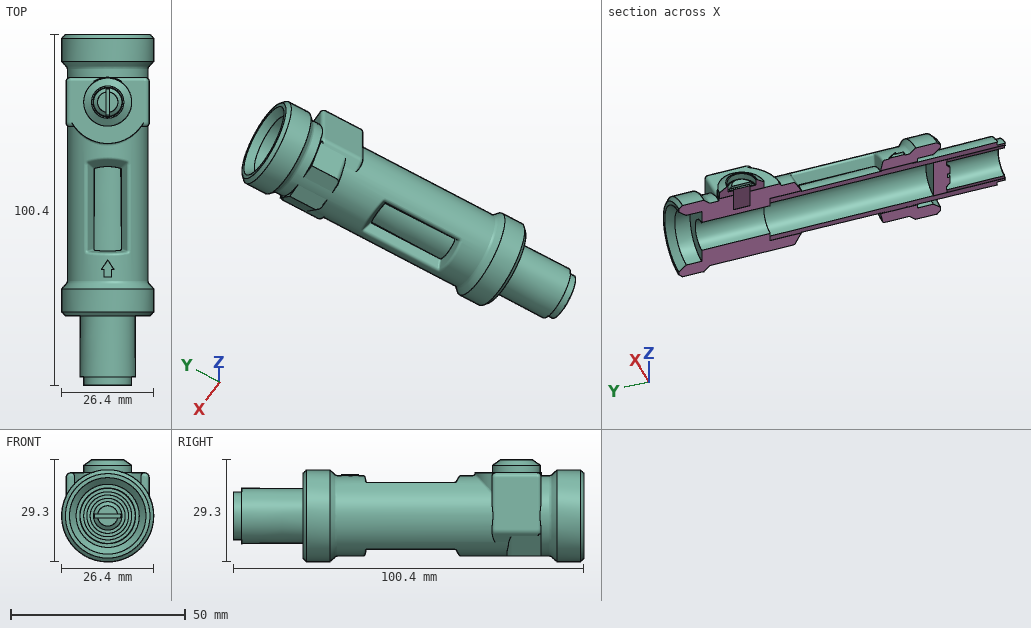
import cadquery as cq

total_length = 100.4

pick_margin = 0.1

barrel_radius = 23.1 / 2
collar_radius = 26.4 / 2
front_face_y = 19.9
collar_chamfer = 1.1
collar_rim_length = 7.7
collar_cone_length = 1.8
collar_neck_fillet = 1.0
mouth_radius = 10.9
mouth_cone_depth = 2.3
socket_radius = 18.1 / 2
socket_depth = 7.0
flow_bore_radius = 10.0 / 2

dial_y = 81.0
block_half_width = 23.8 / 2
block_front_y = 74.0
block_rear_y = 88.1
block_top_z = 12.4
block_side_bottom_z = -4.7
block_keel_half_width = 7.5
block_keel_z = -8.6
block_edge_fillet = 1.4
block_keel_fillet = 1.8
block_corner_fillet = 1.1
dial_plate_radius = 11.8
dial_plate_fillet = 0.7
knob_seat_radius = 7.1

foot_front_y = 78.3
foot_top_half_width = 11.2
foot_top_z = -5.1
foot_corner_fillet = 1.5
foot_bottom_half_width = 6.0
foot_bottom_z = -11.4

window_outer_half_width = 7.0
window_outer_front_y = 37.7
window_outer_rear_y = 64.8
window_inner_half_width = 7.9 / 2
window_inner_front_y = 38.7
window_inner_rear_y = 62.1
window_inner_z = 6.7
window_corner_fillet = 0.5
window_rim_fillet = 0.8

arrow_tail_y = 30.9
arrow_neck_y = 33.1
arrow_tip_y = 35.8
arrow_head_half_width = 1.8
arrow_shaft_half_width = 1.1
arrow_height = 0.3

tube_tip_radius = 13.8 / 2
tube_tip_length = 2.4
tube_front_radius = 16.0 / 2
tube_rear_radius = 7.6
tube_rear_y = 72.3
tube_bore_radius = 12.0 / 2
liner_recess = 0.2
liner_rear_y = 18.1
plug_length = 4.0

knob_radius = 13.8 / 2
knob_rim_z = 14.5
knob_top_radius = 4.6
knob_top_z = 16.1
knob_recess_radius = 8.4 / 2
knob_recess_depth = 2.0

head_base_radius = 8.1 / 2
head_top_radius = 2.9
head_height = 1.1
slot_width = 1.1
slot_depth = 0.8
screw_shank_radius = 4.9 / 2
screw_tip_z = 7.0


def revolve_about_y(points):
    """Solid of revolution about the Y axis from (radius, y) points."""
    return cq.Workplane("XY").polyline(points).close().revolve(360, (0, 0, 0), (0, 1, 0))


def cylinder_y(radius, start_y, end_y):
    """Cylinder along the Y axis."""
    return cq.Workplane("XZ", origin=(0, start_y, 0)).circle(radius).extrude(start_y - end_y)


def cylinder_z(radius, bottom_z, top_z):
    """Cylinder along the vertical dial axis."""
    return cq.Workplane("XY", origin=(0, dial_y, bottom_z)).circle(radius).extrude(top_z - bottom_z)


def prism_y(points, start_y, end_y):
    """Prism along Y with a cross-section of (x, z) points."""
    return cq.Workplane("XZ", origin=(0, start_y, 0)).polyline(points).close().extrude(start_y - end_y)


def placed_at_end(profile, face_y, inward):
    """Turn (radius, depth) points measured from an end face into (radius, y) points."""
    return [(radius, face_y + inward * depth) for radius, depth in profile]


def slotted_head():
    """Conical screw head standing on z = 0, with a driver slot along X."""
    head = (
        cq.Workplane("XY").circle(head_base_radius)
        .workplane(offset=head_height).circle(head_top_radius)
        .loft(ruled=True)
    )
    slot = (
        cq.Workplane("XY", origin=(0, 0, head_height - slot_depth))
        .rect(2 * head_base_radius, slot_width)
        .extrude(slot_depth)
    )
    return head.cut(slot)


def make_collared_barrel():
    """Solid barrel with a chamfered collar at each end."""
    collar = [
        (collar_radius - collar_chamfer, 0),
        (collar_radius, collar_chamfer),
        (collar_radius, collar_rim_length),
        (barrel_radius, collar_rim_length + collar_cone_length),
    ]
    front = placed_at_end(collar, front_face_y, 1)
    rear = placed_at_end(collar, total_length, -1)
    barrel = revolve_about_y([(0, front_face_y)] + front + rear[::-1] + [(0, total_length)])
    neck_ends = [
        front_face_y + collar_rim_length + collar_cone_length,
        total_length - collar_rim_length - collar_cone_length,
    ]
    reach = collar_radius
    for neck_y in neck_ends:
        neck = cq.selectors.BoxSelector(
            (-reach, neck_y - pick_margin, -reach),
            (reach, neck_y + pick_margin, reach),
        )
        barrel = barrel.edges(neck).fillet(collar_neck_fillet)
    return barrel


def make_window_cutter():
    """Tapered cutter with rounded corners, wide end on the barrel surface."""

    def opening(half_width, front_y, rear_y, z):
        corners = [
            (-half_width, front_y),
            (half_width, front_y),
            (half_width, rear_y),
            (-half_width, rear_y),
        ]
        return cq.Wire.makePolygon([cq.Vector(x, y, z) for x, y in corners], close=True)

    inner = opening(window_inner_half_width, window_inner_front_y, window_inner_rear_y, window_inner_z)
    outer = opening(window_outer_half_width, window_outer_front_y, window_outer_rear_y, barrel_radius)
    cutter = cq.Workplane(cq.Solid.makeLoft([inner, outer], True))
    return cutter.edges("not(|X or |Y)").fillet(window_corner_fillet)


def cut_windows(barrel):
    """Cut the sight windows above and below, and round their rims."""
    cutter = make_window_cutter()
    for side in (1, -1):
        side_cutter = cutter if side == 1 else cutter.mirror("XY")
        barrel = barrel.cut(side_cutter)
        rim = cq.selectors.BoxSelector(
            (-window_outer_half_width, window_outer_front_y, side * socket_radius),
            (window_outer_half_width, window_outer_rear_y, side * collar_radius),
        )
        barrel = barrel.edges(rim).fillet(window_rim_fillet)
    return barrel


def make_dial_block():
    """Block with rounded edges, whose sides slope in to the barrel below."""
    section = [
        (-block_half_width, block_top_z),
        (block_half_width, block_top_z),
        (block_half_width, block_side_bottom_z),
        (block_keel_half_width, block_keel_z),
        (-block_keel_half_width, block_keel_z),
        (-block_half_width, block_side_bottom_z),
    ]
    block = prism_y(section, block_front_y, block_rear_y)
    keel_edges = cq.selectors.BoxSelector(
        (-collar_radius, block_front_y, block_side_bottom_z - pick_margin),
        (collar_radius, block_rear_y, block_side_bottom_z + pick_margin),
    )
    block = block.edges("|Y").edges(">Z").fillet(block_edge_fillet)
    block = block.edges(keel_edges).fillet(block_keel_fillet)
    block = block.faces("<Y or >Y").edges().fillet(block_corner_fillet)
    return block


def make_dial_plate():
    """Round front of the dial, which stands proud of the block."""
    depth = dial_plate_radius + block_front_y - dial_y + block_corner_fillet
    front = cq.Workplane("XY", origin=(0, dial_y - dial_plate_radius + depth / 2, 0))
    front = front.rect(2 * dial_plate_radius, depth).extrude(block_top_z)
    return cylinder_z(dial_plate_radius, 0, block_top_z).intersect(front)


def make_foot():
    """Tapered foot under the rear of the dial block."""
    section = [
        (-foot_top_half_width, foot_top_z),
        (foot_top_half_width, foot_top_z),
        (foot_bottom_half_width, foot_bottom_z),
        (-foot_bottom_half_width, foot_bottom_z),
    ]
    foot = prism_y(section, foot_front_y, block_rear_y)
    return foot.faces("<Y").edges("not |X").fillet(foot_corner_fillet)


def make_arrow():
    """Flow arrow, raised above the barrel and following its curve."""
    points = [
        (-arrow_shaft_half_width, arrow_tail_y),
        (arrow_shaft_half_width, arrow_tail_y),
        (arrow_shaft_half_width, arrow_neck_y),
        (arrow_head_half_width, arrow_neck_y),
        (0, arrow_tip_y),
        (-arrow_head_half_width, arrow_neck_y),
        (-arrow_shaft_half_width, arrow_neck_y),
    ]
    prism = cq.Workplane("XY", origin=(0, 0, socket_radius)).polyline(points).close().extrude(collar_radius)
    return prism.intersect(cylinder_y(barrel_radius + arrow_height, arrow_tail_y, arrow_tip_y))


def tube_outline():
    """Outer (radius, y) points of the tube, from its tip to its rear end."""
    return [
        (0, 0),
        (tube_tip_radius, 0),
        (tube_tip_radius, tube_tip_length),
        (tube_front_radius, tube_tip_length),
        (tube_rear_radius, tube_rear_y),
        (0, tube_rear_y),
    ]


def make_housing():
    """Barrel with collars, windows, dial block and foot, bored for the tube and the screw."""
    housing = cut_windows(make_collared_barrel())
    housing = housing.union(make_dial_block()).union(make_dial_plate())
    plate_foot = cq.selectors.BoxSelector(
        (-block_keel_half_width, dial_y - dial_plate_radius, 0),
        (block_keel_half_width, block_front_y, block_top_z - pick_margin),
    )
    housing = housing.edges(plate_foot).fillet(dial_plate_fillet)
    housing = housing.union(cylinder_z(knob_seat_radius, 0, block_top_z))
    housing = housing.union(make_foot()).union(make_arrow())
    socket = [
        (0, 0),
        (mouth_radius, 0),
        (socket_radius, mouth_cone_depth),
        (socket_radius, socket_depth),
        (0, socket_depth),
    ]
    for face_y, inward in ((front_face_y, 1), (total_length, -1)):
        housing = housing.cut(revolve_about_y(placed_at_end(socket, face_y, inward)))
    housing = housing.cut(revolve_about_y(tube_outline()))
    housing = housing.cut(cylinder_y(flow_bore_radius, tube_rear_y, total_length))
    return housing.cut(cylinder_z(screw_shank_radius, screw_tip_z, block_top_z))


def make_tube():
    """Slightly tapered tube with a stepped tip."""
    return revolve_about_y(tube_outline()).cut(cylinder_y(tube_bore_radius, 0, tube_rear_y))


def make_liner():
    """Sleeve that lines the front of the tube bore."""
    liner = cylinder_y(tube_bore_radius, liner_recess, liner_rear_y)
    return liner.cut(cylinder_y(flow_bore_radius, liner_recess, liner_rear_y))


def make_plug():
    """Disc behind the liner, with a slotted head facing the tube tip."""
    head = slotted_head().rotate((0, 0, 0), (1, 0, 0), 90).translate((0, liner_rear_y, 0))
    return cylinder_y(tube_bore_radius, liner_rear_y, liner_rear_y + plug_length).union(head)


def make_knob():
    """Dial knob with a bevelled rim and a recess for the screw head."""
    outline = [
        (0, block_top_z),
        (knob_radius, block_top_z),
        (knob_radius, knob_rim_z),
        (knob_top_radius, knob_top_z),
        (0, knob_top_z),
    ]
    knob = cq.Workplane("XZ").polyline(outline).close().revolve(360, (0, 0, 0), (0, 1, 0))
    knob = knob.translate((0, dial_y, 0))
    knob = knob.cut(cylinder_z(knob_recess_radius, knob_top_z - knob_recess_depth, knob_top_z))
    return knob.cut(cylinder_z(screw_shank_radius, block_top_z, knob_top_z))


def make_knob_screw():
    """Slotted screw that holds the knob on the housing."""
    seat_z = knob_top_z - knob_recess_depth
    head = slotted_head().rotate((0, 0, 0), (0, 0, 1), 90).translate((0, dial_y, seat_z))
    return head.union(cylinder_z(screw_shank_radius, screw_tip_z, seat_z))


housing = make_housing()
tube = make_tube()
liner = make_liner()
plug = make_plug()
knob = make_knob()
knob_screw = make_knob_screw()

result = cq.Compound.makeCompound([
    housing.val(),
    tube.val(),
    liner.val(),
    plug.val(),
    knob.val(),
    knob_screw.val(),
])